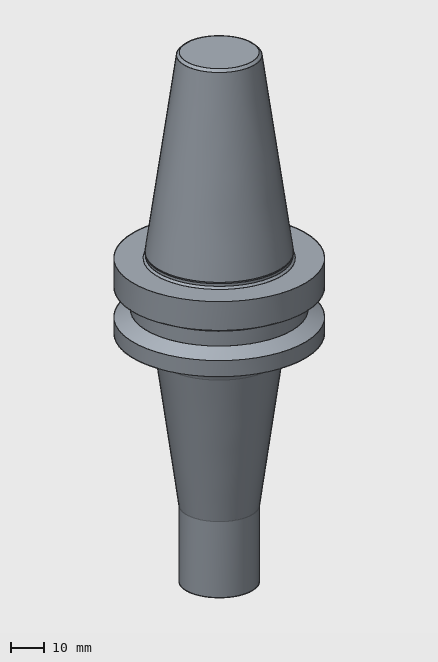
import cadquery as cq
import math

TOTAL_LENGTH = 173.4
NOSE_LENGTH = 25.0
BODY_TOP_Z = 74.5
FLANGE_UNDERSIDE_Z = 78.7
FLANGE_RIM_BOTTOM_Z = 81.3
FLANGE_TOP_Z = 106.0
GAUGE_Z = 108.0

NOSE_DIAMETER = 24.1
BODY_TOP_DIAMETER = 38.2
FLANGE_UNDERSIDE_DIAMETER = 45.0
FLANGE_DIAMETER = 63.0
GROOVE_DIAMETER = 53.0
COLLAR_DIAMETER = 44.0
GAUGE_DIAMETER = 44.4

GROOVE_CENTER_Z = 91.5
GROOVE_FLOOR_WIDTH = 4.9
GROOVE_FLANK_ANGLE = 27.0

TAPER_RATIO = 7 / 24
TOP_CHAMFER = 0.9
COLLAR_STEP_HEIGHT = 0.5
COLLAR_FLARE = 0.7


def lower_body():
    """Cylindrical nose, conical body and the concave blend up to the flange."""
    nose_radius = NOSE_DIAMETER / 2
    body_radius = BODY_TOP_DIAMETER / 2
    return (
        cq.Workplane("XZ")
        .moveTo(0, 0)
        .lineTo(nose_radius, 0)
        .lineTo(nose_radius, NOSE_LENGTH)
        .lineTo(body_radius, BODY_TOP_Z)
        .tangentArcPoint((FLANGE_UNDERSIDE_DIAMETER / 2, FLANGE_UNDERSIDE_Z), relative=False)
        .lineTo(0, FLANGE_UNDERSIDE_Z)
        .close()
        .revolve(360, (0, 0, 0), (0, 1, 0))
    )


def flange():
    """Flange with a sloping underside and a gripper groove around its rim."""
    rim_radius = FLANGE_DIAMETER / 2
    floor_radius = GROOVE_DIAMETER / 2
    half_floor = GROOVE_FLOOR_WIDTH / 2
    flank_rise = (rim_radius - floor_radius) * math.tan(math.radians(GROOVE_FLANK_ANGLE))
    half_mouth = half_floor + flank_rise
    profile = [
        (0, FLANGE_UNDERSIDE_Z),
        (FLANGE_UNDERSIDE_DIAMETER / 2, FLANGE_UNDERSIDE_Z),
        (rim_radius, FLANGE_RIM_BOTTOM_Z),
        (rim_radius, GROOVE_CENTER_Z - half_mouth),
        (floor_radius, GROOVE_CENTER_Z - half_floor),
        (floor_radius, GROOVE_CENTER_Z + half_floor),
        (rim_radius, GROOVE_CENTER_Z + half_mouth),
        (rim_radius, FLANGE_TOP_Z),
        (0, FLANGE_TOP_Z),
    ]
    return cq.Workplane("XZ").polyline(profile).close().revolve(360, (0, 0, 0), (0, 1, 0))


def spindle_taper():
    """Short collar flaring into the flange and the long taper with a chamfered end."""
    gauge_radius = GAUGE_DIAMETER / 2
    collar_radius = COLLAR_DIAMETER / 2
    chamfer_z = TOTAL_LENGTH - TOP_CHAMFER
    small_end_radius = gauge_radius - (chamfer_z - GAUGE_Z) * TAPER_RATIO / 2
    profile = [
        (0, FLANGE_TOP_Z),
        (collar_radius + COLLAR_FLARE, FLANGE_TOP_Z),
        (collar_radius, FLANGE_TOP_Z + COLLAR_FLARE),
        (collar_radius, GAUGE_Z - COLLAR_STEP_HEIGHT),
        (gauge_radius, GAUGE_Z),
        (small_end_radius, chamfer_z),
        (small_end_radius - TOP_CHAMFER, TOTAL_LENGTH),
        (0, TOTAL_LENGTH),
    ]
    return cq.Workplane("XZ").polyline(profile).close().revolve(360, (0, 0, 0), (0, 1, 0))


result = lower_body().union(flange()).union(spindle_taper())